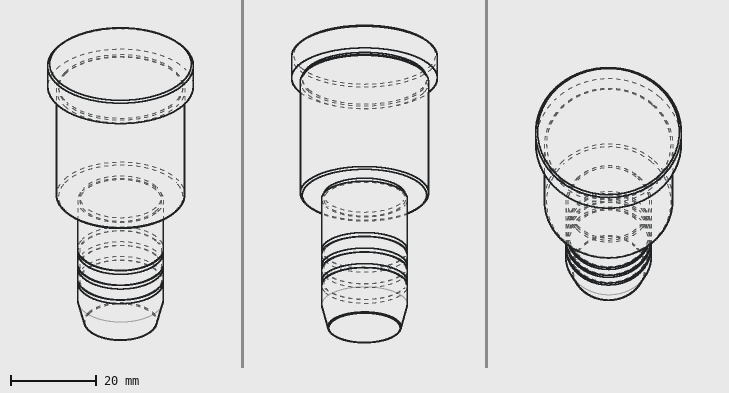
import cadquery as cq

total_height = 70.0
head_height = 6.0
body_bottom = 34.0

head_radius = 17.0
body_radius = 15.0
shank_radius = 10.0

edge = 0.5

shank_undercut_height = 1.0

taper_height = 6.0
tip_radius = 8.55
tip_edge = 0.2

groove_count = 3
lowest_groove = 11.4
groove_pitch = 4.0

head_bottom = total_height - head_height


def turned_blank():
    """Revolve the stepped profile, with an undercut below each shoulder."""
    neck_radius = body_radius - edge
    shank_neck_radius = shank_radius - edge
    profile = (
        cq.Workplane("XZ")
        .moveTo(0, 0)
        .lineTo(tip_radius - tip_edge, 0)
        .lineTo(tip_radius, tip_edge)
        .lineTo(shank_radius, taper_height)
        .lineTo(shank_radius, body_bottom - shank_undercut_height)
        .lineTo(shank_neck_radius, body_bottom - shank_undercut_height)
        .lineTo(shank_neck_radius, body_bottom)
        .lineTo(body_radius - edge, body_bottom)
        .lineTo(body_radius, body_bottom + edge)
        .lineTo(body_radius, head_bottom - 2 * edge)
        .lineTo(neck_radius, head_bottom - edge)
        .lineTo(neck_radius, head_bottom)
        .lineTo(head_radius, head_bottom)
        .lineTo(head_radius, total_height - edge)
        .lineTo(head_radius - edge, total_height)
        .lineTo(0, total_height)
        .close()
    )
    return profile.revolve(360, (0, 0, 0), (0, 1, 0))


def groove_cutter(center_z):
    """Ring of round section centred on the shank surface."""
    section = cq.Workplane("XZ").center(shank_radius, center_z).circle(edge)
    return section.revolve(360, (-shank_radius, 0, 0), (-shank_radius, 1, 0))


result = turned_blank()
for index in range(groove_count):
    result = result.cut(groove_cutter(lowest_groove + index * groove_pitch))